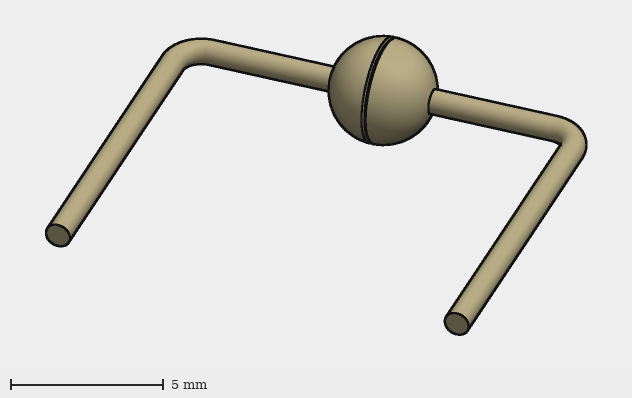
import cadquery as cq
import math

overall_width = 14.85
overall_depth = 13.3
wire_diameter = 0.85
bend_radius = 1.0
bead_diameter = 3.6
groove_width = 0.15
groove_depth = 0.07

wire_radius = wire_diameter / 2
bead_radius = bead_diameter / 2
leg_x = (overall_width - wire_diameter) / 2
leg_end_y = bead_radius - overall_depth
bend_start_x = leg_x - bend_radius


def make_wire():
    """Round wire bent into a U, swept along its centreline."""
    centreline = (
        cq.Workplane("XY")
        .moveTo(-leg_x, leg_end_y)
        .lineTo(-leg_x, -bend_radius)
        .radiusArc((-bend_start_x, 0), bend_radius)
        .lineTo(bend_start_x, 0)
        .radiusArc((leg_x, -bend_radius), bend_radius)
        .lineTo(leg_x, leg_end_y)
    )
    leg_end = cq.Workplane("XZ", origin=(-leg_x, leg_end_y, 0))
    return leg_end.circle(wire_radius).sweep(centreline)


def make_bead():
    """Ball with a narrow V-groove around its middle, turned about the X axis."""
    half_groove = groove_width / 2
    rim_z = math.sqrt(bead_radius**2 - half_groove**2)
    floor_z = bead_radius - groove_depth
    arc_offset = bead_radius * math.sqrt(0.5)
    profile = (
        cq.Workplane("XZ")
        .moveTo(-bead_radius, 0)
        .threePointArc((-arc_offset, arc_offset), (-half_groove, rim_z))
        .lineTo(0, floor_z)
        .lineTo(half_groove, rim_z)
        .threePointArc((arc_offset, arc_offset), (bead_radius, 0))
        .close()
    )
    return profile.revolve(360, (0, 0, 0), (1, 0, 0))


result = make_wire().union(make_bead())